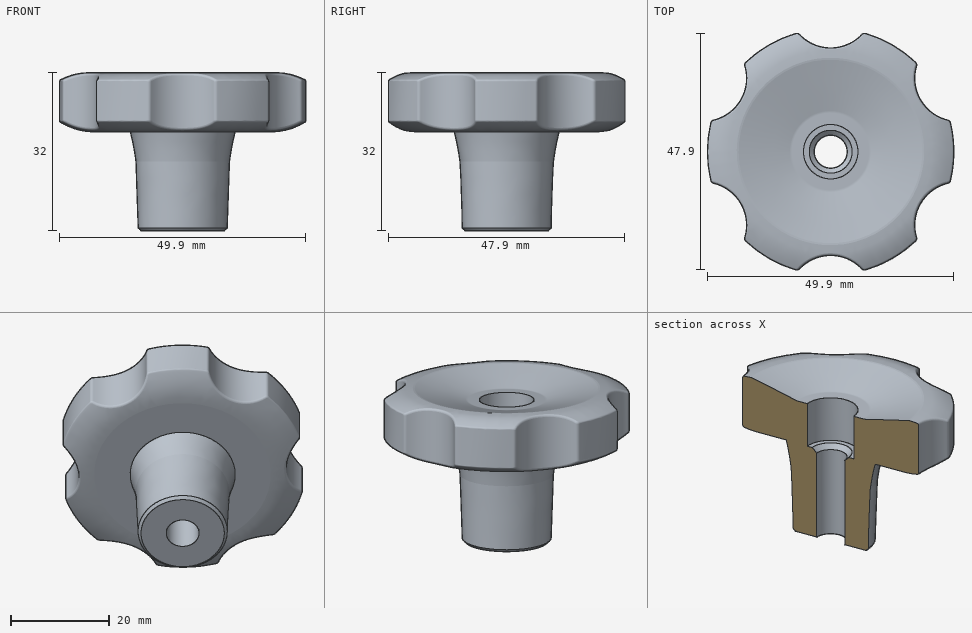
import cadquery as cq
import math

total_height = 32.0
head_radius = 24.95
head_thickness = 12.0
head_bottom = total_height - head_thickness

dome_radius = 12.95
top_flat_radius = 18.75
bottom_flat_radius = 17.85

scallop_count = 6
scallop_radius = 8.7
scallop_floor_radius = 21.0
outline_inner_limit = (top_flat_radius + scallop_floor_radius) / 2
scallop_corner_fillet = 0.75
head_edge_fillet = 0.5

dish_floor_radius = 8.05
dish_depth = 2.45
dish_fillet = 1.7
dish_floor_z = total_height - dish_depth

hub_top_radius = 10.6
hub_waist_radius = 9.45
hub_waist_z = 14.0
hub_foot_radius = 9.0
hub_foot_chamfer = 0.6
flare_bow = 0.1

bore_diameter = 6.65
counterbore_diameter = 11.0
counterbore_floor_z = head_bottom
countersink_diameter = 8.7

match_tolerance = 0.005


def dome_drop(flat_radius, radius):
    """Drop of the dome below the flat face at a given radius."""
    reach = radius - flat_radius
    return dome_radius - math.sqrt(dome_radius**2 - reach**2)


def dome_middle(flat_radius):
    """Radius halfway along the dome, measured radially."""
    return (flat_radius + head_radius) / 2


def make_head():
    top_middle = dome_middle(top_flat_radius)
    bottom_middle = dome_middle(bottom_flat_radius)
    top_edge_z = total_height - dome_drop(top_flat_radius, head_radius)
    top_middle_z = total_height - dome_drop(top_flat_radius, top_middle)
    bottom_edge_z = head_bottom + dome_drop(bottom_flat_radius, head_radius)
    bottom_middle_z = head_bottom + dome_drop(bottom_flat_radius, bottom_middle)

    head = (
        cq.Workplane("XZ")
        .moveTo(0, head_bottom)
        .lineTo(bottom_flat_radius, head_bottom)
        .threePointArc((bottom_middle, bottom_middle_z), (head_radius, bottom_edge_z))
        .lineTo(head_radius, top_edge_z)
        .threePointArc((top_middle, top_middle_z), (top_flat_radius, total_height))
        .lineTo(0, total_height)
        .close()
        .revolve(360, (0, 0, 0), (0, 1, 0))
    )

    scallops = (
        cq.Workplane("XY")
        .polarArray(scallop_floor_radius + scallop_radius, 90, 360, scallop_count)
        .circle(scallop_radius)
        .extrude(total_height)
    )
    head = head.cut(scallops)

    corners = head.edges("|Z").filter(on_outline)
    head = corners.fillet(scallop_corner_fillet)
    outline = head.edges("not |Z").filter(on_outline)
    return outline.fillet(head_edge_fillet)


def on_outline(edge):
    """True for edges along the scalloped outline, leaving out the flat-face circles and seams."""
    middle = edge.positionAt(0.5)
    return math.hypot(middle.x, middle.y) > outline_inner_limit


def make_hub():
    return (
        cq.Workplane("XZ")
        .lineTo(hub_foot_radius - hub_foot_chamfer, 0)
        .lineTo(hub_foot_radius, hub_foot_chamfer)
        .lineTo(hub_waist_radius, hub_waist_z)
        .threePointArc(
            (
                (hub_waist_radius + hub_top_radius) / 2 - flare_bow,
                (hub_waist_z + head_bottom) / 2,
            ),
            (hub_top_radius, head_bottom),
        )
        .lineTo(0, head_bottom)
        .close()
        .revolve(360, (0, 0, 0), (0, 1, 0))
    )


def make_dish():
    return (
        cq.Workplane("XZ")
        .moveTo(0, dish_floor_z)
        .lineTo(dish_floor_radius, dish_floor_z)
        .lineTo(top_flat_radius, total_height)
        .lineTo(0, total_height)
        .close()
        .revolve(360, (0, 0, 0), (0, 1, 0))
    )


def is_dish_circle(edge):
    """True for the lip circle and the floor circle of the dish."""
    level = edge.Center().z
    at_lip = math.isclose(level, total_height, abs_tol=match_tolerance)
    at_floor = math.isclose(level, dish_floor_z, abs_tol=match_tolerance)
    wider_than_bore = edge.radius() > counterbore_diameter / 2 + match_tolerance
    return wider_than_bore and (at_lip or at_floor)


def make_bore():
    bore_radius = bore_diameter / 2
    counterbore_radius = counterbore_diameter / 2
    countersink_radius = countersink_diameter / 2
    countersink_bottom_z = counterbore_floor_z - (countersink_radius - bore_radius)
    return (
        cq.Workplane("XZ")
        .lineTo(bore_radius, 0)
        .lineTo(bore_radius, countersink_bottom_z)
        .lineTo(countersink_radius, counterbore_floor_z)
        .lineTo(counterbore_radius, counterbore_floor_z)
        .lineTo(counterbore_radius, total_height)
        .lineTo(0, total_height)
        .close()
        .revolve(360, (0, 0, 0), (0, 1, 0))
    )


result = make_head().union(make_hub()).cut(make_dish()).cut(make_bore())

dish_circles = result.edges("%CIRCLE").filter(is_dish_circle)
result = dish_circles.fillet(dish_fillet)